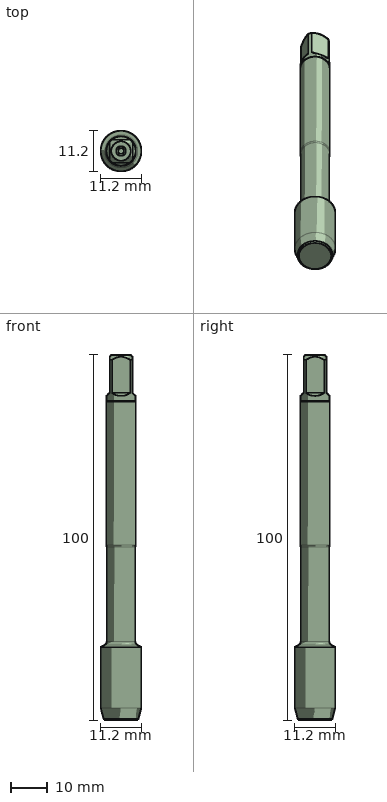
import cadquery as cq
import math

total_length = 100.0
head_length = 20.0
lead_length = 3.4
tip_chamfer = 0.4
neck_end = 47.5
shank_start = 48.0
shank_end = 87.2
drive_start = 87.5

head_diameter = 11.2
lead_tip_diameter = 9.6
collar_diameter = 9.0
neck_diameter = 7.9
shank_diameter = 8.2
drive_diameter = 8.0
end_face_diameter = 5.3

shoulder_angle = math.radians(30)
end_cone_angle = math.radians(45)

square_width = 6.3
square_length = 10.4

centre_diameter = 1.6
centre_mouth_diameter = 2.7
centre_depth = 2.0
countersink_half_angle = math.radians(30)
countersink_radial_step = (centre_mouth_diameter - centre_diameter) / 2
countersink_depth = countersink_radial_step / math.tan(countersink_half_angle)


def make_head():
    """Head of the tap: a plain cylinder with a tapered lead and a broken tip edge."""
    profile = [
        (0, 0),
        (lead_tip_diameter / 2 - tip_chamfer, 0),
        (lead_tip_diameter / 2, tip_chamfer),
        (head_diameter / 2, lead_length),
        (head_diameter / 2, head_length),
        (0, head_length),
    ]
    return cq.Workplane("XZ").polyline(profile).close().revolve(360, (0, 0), (0, 1))


def make_turned_shank():
    """Round blank: conical shoulder, filleted neck, shank and drive end."""
    fillet_radius = (collar_diameter - neck_diameter) / 2 / (1 - math.sin(shoulder_angle))
    collar_radius = collar_diameter / 2
    collar_height = head_length + (head_diameter / 2 - collar_radius) * math.tan(shoulder_angle)
    fillet_centre_x = neck_diameter / 2 + fillet_radius
    fillet_centre_z = collar_height + fillet_radius * math.cos(shoulder_angle)
    middle_angle = (math.pi / 2 - shoulder_angle) / 2
    fillet_middle = (
        fillet_centre_x - fillet_radius * math.cos(middle_angle),
        fillet_centre_z - fillet_radius * math.sin(middle_angle),
    )
    end_cone_height = (drive_diameter - end_face_diameter) / 2 * math.tan(end_cone_angle)
    return (
        cq.Workplane("XZ")
        .moveTo(0, head_length)
        .lineTo(head_diameter / 2, head_length)
        .lineTo(collar_radius, collar_height)
        .threePointArc(fillet_middle, (neck_diameter / 2, fillet_centre_z))
        .lineTo(neck_diameter / 2, neck_end)
        .lineTo(shank_diameter / 2, shank_start)
        .lineTo(shank_diameter / 2, shank_end)
        .lineTo(drive_diameter / 2, drive_start)
        .lineTo(drive_diameter / 2, total_length - end_cone_height)
        .lineTo(end_face_diameter / 2, total_length)
        .lineTo(0, total_length)
        .close()
        .revolve(360, (0, 0), (0, 1))
    )


def make_flat_cutter():
    """Prism that mills one flat of the square, with a 45 degree run-out at its foot."""
    inner = square_width / 2
    outer = head_diameter / 2
    foot = total_length - square_length
    profile = [
        (inner, total_length),
        (inner, foot),
        (outer, foot - (outer - inner)),
        (outer, total_length),
    ]
    return cq.Workplane("XZ").polyline(profile).close().extrude(head_diameter / 2, both=True)


def make_centre_hole():
    """Countersunk centre hole, along the axis from the drive end."""
    profile = [
        (0, total_length),
        (centre_mouth_diameter / 2, total_length),
        (centre_diameter / 2, total_length - countersink_depth),
        (centre_diameter / 2, total_length - centre_depth),
        (0, total_length - centre_depth),
    ]
    return cq.Workplane("XZ").polyline(profile).close().revolve(360, (0, 0), (0, 1))


def make_shank():
    """Shank body with the square drive and its centre hole."""
    shank = make_turned_shank()
    flat_cutter = make_flat_cutter()
    for angle in (0, 90, 180, 270):
        shank = shank.cut(flat_cutter.rotate((0, 0, 0), (0, 0, 1), angle))
    return shank.cut(make_centre_hole())


head = make_head()
shank = make_shank()
result = cq.Compound.makeCompound([head.val(), *shank.solids().vals()])